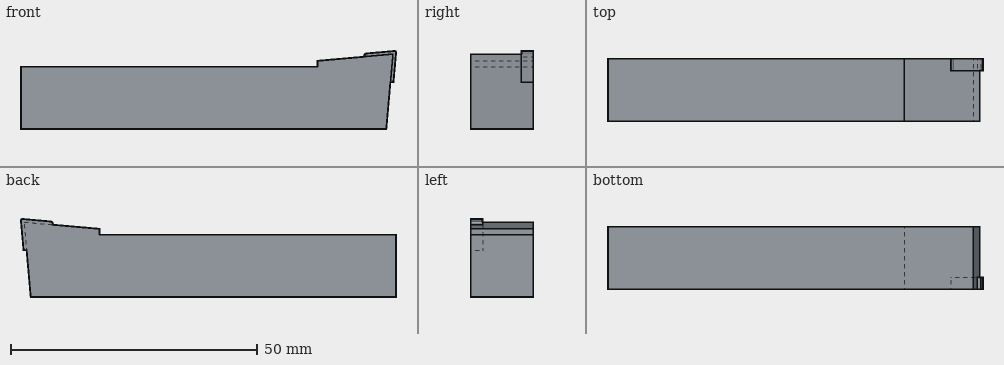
import cadquery as cq
import math

TOTAL_LENGTH = 76.2
TOTAL_HEIGHT = 15.87
SHANK_SIZE = 12.7

HEAD_ANGLE = 5.0
HEAD_START = 60.2

INSERT_LENGTH = 6.55
INSERT_HEIGHT = 6.4
INSERT_WIDTH = 2.4
INSERT_RADIUS = 0.45
STANDOUT = 0.635

TILT = math.radians(HEAD_ANGLE)

CORNER_EXCESS = INSERT_RADIUS * (math.cos(TILT) + math.sin(TILT) - 1)
CORNER_X = TOTAL_LENGTH + CORNER_EXCESS
CORNER_Z = TOTAL_HEIGHT + CORNER_EXCESS


def from_corner(back, down):
    """XZ point behind and below the sharp insert corner, along the tilted insert axes."""
    x = CORNER_X - back * math.cos(TILT) - down * math.sin(TILT)
    z = CORNER_Z - back * math.sin(TILT) - down * math.cos(TILT)
    return (x, z)


def side_plane(y):
    """XZ workplane at the given Y; its normal points toward -Y."""
    return cq.Workplane("XZ", origin=(0, y, 0))


def make_holder():
    """Square shank with the raised, sloping head at its +X end."""
    nose_x, nose_z = from_corner(STANDOUT, STANDOUT)
    heel_x = nose_x - nose_z * math.tan(TILT)
    step_z = nose_z - (nose_x - HEAD_START) * math.tan(TILT)
    outline = [
        (0, 0),
        (heel_x, 0),
        (nose_x, nose_z),
        (HEAD_START, step_z),
        (HEAD_START, SHANK_SIZE),
        (0, SHANK_SIZE),
    ]
    return side_plane(0).polyline(outline).close().extrude(-SHANK_SIZE)


def make_insert():
    """Tilted rectangular insert with its front and rear top edges rounded."""
    arc_inset = INSERT_RADIUS * (1 - math.sqrt(0.5))
    rear = INSERT_LENGTH
    return (
        side_plane(SHANK_SIZE - INSERT_WIDTH)
        .moveTo(*from_corner(0, INSERT_HEIGHT))
        .lineTo(*from_corner(0, INSERT_RADIUS))
        .threePointArc(from_corner(arc_inset, arc_inset), from_corner(INSERT_RADIUS, 0))
        .lineTo(*from_corner(rear - INSERT_RADIUS, 0))
        .threePointArc(from_corner(rear - arc_inset, arc_inset), from_corner(rear, INSERT_RADIUS))
        .lineTo(*from_corner(rear, INSERT_HEIGHT))
        .close()
        .extrude(-INSERT_WIDTH)
    )


result = make_holder().union(make_insert())